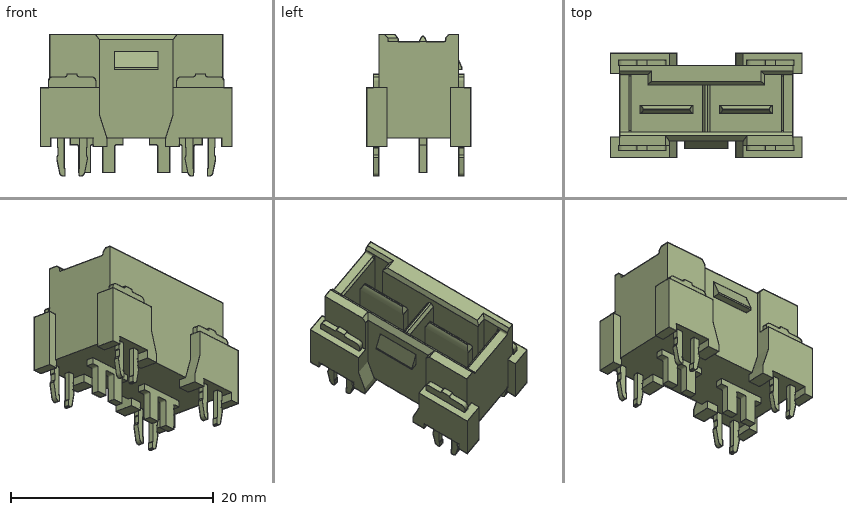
import cadquery as cq

body_length = 17.09
body_width = 7.88
body_height = 10.22
cavity_floor = 2.27
cavity_half_length = 7.4
cavity_front = -2.65
cavity_back = 3.05
rib_front = 2.0
rib_half_length = 5.75
mouth_chamfer = 0.34
rib_chamfer_height = 0.45

end_wall_height = 9.53
end_wall_chamfer = 0.23
end_notch_fillet = 0.17

divider_height = 9.1
divider_thickness = 0.74
divider_chamfer_width = 0.26
divider_chamfer_height = 0.38

panel_half_width = 3.63
panel_depth = 0.4
panel_chamfer_width = 0.4
panel_chamfer_height = 0.51
latch_width = 4.29
latch_top = 8.56
latch_tip_top = 6.95
latch_bottom = 6.77
latch_reach = 0.72

ear_half_span = 9.45
ear_outer_y = 5.15
ear_inner_y = 3.12
ear_top = 4.97
ear_taper_start = 2.29
ear_inner_x = 2.9
ear_drop = 0.85
outer_foot_width = 1.02
inner_foot_width = 1.36

clip_centre_x = 6.33
clip_thickness = 0.53
clip_length = 4.69
clip_top = 6.05
clip_corner_radius = 0.45
clip_base_radius = 0.08
bump_top = 6.31
bump_width = 0.98
bump_root_radius = 0.2

leg_inner = 0.75
leg_outer = 1.45
leg_waist = 1.4
leg_waist_top = -0.96
leg_waist_bottom = -1.66
leg_bulge = 1.51
leg_bulge_top = -1.9
leg_bulge_bottom = -2.06
leg_hook_top = -2.99
leg_bottom = -3.76
leg_tip_inner = 0.68
leg_tip_bevel = 0.08
leg_tip_flat_end = 0.9
leg_tip_arc_middle = (1.13, -3.63)
leg_tip_arc_end = (1.25, -3.38)

blade_pitch = 7.82
blade_y = -0.42
blade_length = 5.22
blade_thickness = 0.77
blade_top = 10.05
blade_tip_height = 0.75
blade_tip_flat = 0.13
blade_arch_half_width = 0.26
blade_arch_drop = 0.3
blade_end_setback = 0.3
shoulder_drop = 0.66
tail_drop = 3.4
tail_width = 1.21
tail_spacing = 2.4
tail_fillet = 0.15


def box(x0, x1, y0, y1, z0, z1):
    return cq.Workplane("XY").box(x1 - x0, y1 - y0, z1 - z0, centered=False).translate((x0, y0, z0))


def extrude_along_x(points, length):
    """Prism with a Y-Z outline, centred on X = 0."""
    return cq.Workplane("YZ").polyline(points).close().extrude(length / 2, both=True)


def chamber_outline(z):
    """Outline of the cavity, which steps around the thick middle of the back wall."""
    return (
        cq.Workplane("XY", origin=(0, 0, z))
        .moveTo(-cavity_half_length, cavity_front)
        .lineTo(cavity_half_length, cavity_front)
        .lineTo(cavity_half_length, cavity_back)
        .lineTo(rib_half_length, cavity_back)
        .lineTo(rib_half_length, rib_front)
        .lineTo(-rib_half_length, rib_front)
        .lineTo(-rib_half_length, cavity_back)
        .lineTo(-cavity_half_length, cavity_back)
        .close()
    )


def end_wall_cut():
    """Lowers both end walls between the front and back walls, leaving a rounded foot at each."""
    notch = box(
        -body_length, body_length, cavity_front, cavity_back, end_wall_height, body_height
    )
    notch = notch.edges("|X and <Z").fillet(end_notch_fillet)
    rib = box(-rib_half_length, rib_half_length, rib_front, cavity_back, 0, body_height)
    return notch.cut(rib)


def mouth_chamfer_cut():
    """Lead-in along the long walls, following the steps of the back wall."""
    low = body_height - mouth_chamfer
    front = extrude_along_x(
        [
            (cavity_front, low),
            (cavity_front, body_height),
            (cavity_front - mouth_chamfer, body_height),
        ],
        body_length,
    )
    back = extrude_along_x(
        [
            (cavity_back, low),
            (cavity_back, body_height),
            (cavity_back + mouth_chamfer, body_height),
        ],
        body_length,
    )
    slope = front.union(back)
    rib_low = body_height - rib_chamfer_height
    rib_strip = box(-rib_half_length, rib_half_length, rib_front, cavity_back, rib_low, body_height)
    return slope.union(rib_strip).cut(sloped_rib_top(low, rib_low))


def sloped_rib_top(end_slope_start, front_slope_start):
    """Top of the thick middle of the back wall, as two crossed outlines."""
    rib_back = body_width / 2
    end_outline = extrude_along_x(
        [
            (rib_front, front_slope_start),
            (rib_back, front_slope_start),
            (rib_back, body_height),
            (rib_front + mouth_chamfer, body_height),
        ],
        2 * rib_half_length,
    )
    top_half_length = rib_half_length - mouth_chamfer
    front_outline = (
        cq.Workplane("XZ", origin=(0, rib_back, 0))
        .polyline(
            [
                (-rib_half_length, front_slope_start),
                (rib_half_length, front_slope_start),
                (rib_half_length, end_slope_start),
                (top_half_length, body_height),
                (-top_half_length, body_height),
                (-rib_half_length, end_slope_start),
            ]
        )
        .close()
        .extrude(rib_back - rib_front)
    )
    return end_outline.intersect(front_outline)


def end_wall_chamfer_cut(side):
    """Slope on the inner top edge of one end wall."""
    low = end_wall_height - end_wall_chamfer
    return (
        cq.Workplane("XZ")
        .polyline(
            [
                (side * cavity_half_length, low),
                (side * cavity_half_length, end_wall_height),
                (side * (cavity_half_length + end_wall_chamfer), end_wall_height),
            ]
        )
        .close()
        .extrude(cavity_back - cavity_front)
        .translate((0, cavity_back, 0))
    )


def panel_cut():
    """Recess in the middle of the front wall, flared back to the mouth chamfer at the top."""
    face = -body_width / 2
    flare_bottom = body_height - panel_chamfer_height
    flare_back = cavity_front - mouth_chamfer
    recess = box(-panel_half_width, panel_half_width, face, face + panel_depth, 0, body_height)
    top_half_width = panel_half_width + panel_chamfer_width
    flare = (
        cq.Workplane("XY", origin=(0, face, flare_bottom))
        .center(0, panel_depth / 2)
        .rect(2 * panel_half_width, panel_depth)
        .workplane(offset=panel_chamfer_height)
        .center(0, (flare_back - face - panel_depth) / 2)
        .rect(2 * top_half_width, flare_back - face)
        .loft(ruled=True)
    )
    return recess.union(flare)


def divider():
    half = divider_thickness / 2
    ridge = half - divider_chamfer_width
    slope_start = divider_height - divider_chamfer_height
    return (
        cq.Workplane("XZ", origin=(0, rib_front, 0))
        .polyline(
            [
                (-half, cavity_floor),
                (half, cavity_floor),
                (half, slope_start),
                (ridge, divider_height),
                (-ridge, divider_height),
                (-half, slope_start),
            ]
        )
        .close()
        .extrude(rib_front - cavity_front)
    )


def latch():
    panel_face = panel_depth - body_width / 2
    tip = panel_face - latch_reach
    return extrude_along_x(
        [
            (panel_face, latch_top),
            (tip, latch_tip_top),
            (tip, latch_bottom),
            (panel_face, latch_bottom),
        ],
        latch_width,
    )


def ear():
    """Ear at +X, -Y: straight upper part, flared inner side and two feet."""
    upper_inner_x = panel_half_width
    return (
        cq.Workplane("XZ", origin=(0, -ear_inner_y, 0))
        .polyline(
            [
                (upper_inner_x, ear_top),
                (upper_inner_x, ear_taper_start),
                (ear_inner_x, 0),
                (ear_inner_x, -ear_drop),
                (ear_inner_x + inner_foot_width, -ear_drop),
                (ear_inner_x + inner_foot_width, 0),
                (ear_half_span - outer_foot_width, 0),
                (ear_half_span - outer_foot_width, -ear_drop),
                (ear_half_span, -ear_drop),
                (ear_half_span, ear_top),
            ]
        )
        .close()
        .extrude(ear_outer_y - ear_inner_y)
    )


def clip_plane():
    return cq.Workplane("XZ", origin=(clip_centre_x, -body_width / 2, 0))


def clip_leg():
    """Press-fit leg on the +X side of a clip, bulged on its outer edge, with a rounded tip."""
    return (
        clip_plane()
        .moveTo(leg_inner, 0)
        .lineTo(leg_inner, leg_hook_top)
        .lineTo(leg_tip_inner, leg_hook_top - leg_tip_bevel)
        .lineTo(leg_tip_inner, leg_bottom + leg_tip_bevel)
        .lineTo(leg_tip_inner + leg_tip_bevel, leg_bottom)
        .lineTo(leg_tip_flat_end, leg_bottom)
        .threePointArc(leg_tip_arc_middle, leg_tip_arc_end)
        .lineTo(leg_bulge, leg_bulge_bottom)
        .lineTo(leg_bulge, leg_bulge_top)
        .lineTo(leg_waist, leg_waist_bottom)
        .lineTo(leg_waist, leg_waist_top)
        .lineTo(leg_outer, leg_waist_top + leg_outer - leg_waist)
        .lineTo(leg_outer, 0)
        .close()
        .extrude(clip_thickness)
    )


def clip():
    """Clip at +X, -Y: rounded head with a bump above the ear, two legs below it."""
    head_height = clip_top - ear_top
    head = clip_plane().center(0, ear_top + head_height / 2).rect(clip_length, head_height)
    head = head.extrude(clip_thickness)
    head = head.edges("|Y and >Z").fillet(clip_corner_radius)
    head = head.edges("|Y and <Z").fillet(clip_base_radius)
    half_bump = bump_width / 2
    half_root = half_bump + bump_root_radius
    root_top = clip_top + bump_root_radius
    bump = (
        clip_plane()
        .moveTo(-half_root, clip_top)
        .lineTo(half_root, clip_top)
        .radiusArc((half_bump, root_top), bump_root_radius)
        .lineTo(half_bump, bump_top)
        .lineTo(-half_bump, bump_top)
        .lineTo(-half_bump, root_top)
        .radiusArc((-half_root, clip_top), bump_root_radius)
        .close()
        .extrude(clip_thickness)
    )
    leg = clip_leg()
    other_leg = leg.mirror("YZ", (clip_centre_x, 0, 0))
    return head.union(bump).union(leg).union(other_leg)


def blade():
    """Contact centred on X = 0: arched, end-sloped tip above and two solder tails below."""
    half_length = blade_length / 2
    half_thickness = blade_thickness / 2
    half_flat = blade_tip_flat / 2
    tip_start = blade_top - blade_tip_height
    arch_z = blade_top - blade_arch_drop
    section = (
        cq.Workplane("YZ")
        .moveTo(-half_thickness, -shoulder_drop)
        .lineTo(half_thickness, -shoulder_drop)
        .lineTo(half_thickness, tip_start)
        .threePointArc((blade_arch_half_width, arch_z), (half_flat, blade_top))
        .lineTo(-half_flat, blade_top)
        .threePointArc((-blade_arch_half_width, arch_z), (-half_thickness, tip_start))
        .close()
        .extrude(half_length, both=True)
    )
    side_outline = (
        cq.Workplane("XZ")
        .moveTo(-half_length, -shoulder_drop)
        .lineTo(half_length, -shoulder_drop)
        .lineTo(half_length, tip_start)
        .lineTo(half_length - blade_end_setback, blade_top)
        .lineTo(blade_end_setback - half_length, blade_top)
        .lineTo(-half_length, tip_start)
        .close()
        .extrude(blade_thickness, both=True)
    )
    contact = section.intersect(side_outline)
    for side in (-1, 1):
        contact = contact.union(tail().translate((side * tail_spacing / 2, 0, 0)))
    root_corners = cq.selectors.BoxSelector(
        (-tail_spacing, -blade_thickness, -shoulder_drop - tail_fillet),
        (tail_spacing, blade_thickness, -shoulder_drop + tail_fillet),
    )
    return contact.edges(root_corners).edges("|Y").fillet(tail_fillet)


def tail():
    half_width = tail_width / 2
    half_thickness = blade_thickness / 2
    return box(-half_width, half_width, -half_thickness, half_thickness, -tail_drop, -shoulder_drop)


shell = box(
    -body_length / 2, body_length / 2, -body_width / 2, body_width / 2, 0, body_height
)
shell = shell.cut(chamber_outline(cavity_floor).extrude(body_height))
shell = shell.cut(end_wall_cut())
shell = shell.cut(mouth_chamfer_cut())
for end in (-1, 1):
    shell = shell.cut(end_wall_chamfer_cut(end))
shell = shell.cut(panel_cut())

result = shell.union(divider()).union(latch())

corner = ear().union(clip())
corner_pair = corner.union(corner.mirror("YZ"))
result = result.union(corner_pair).union(corner_pair.mirror("XZ"))

for side in (-1, 1):
    result = result.union(blade().translate((side * blade_pitch / 2, blade_y, 0)))